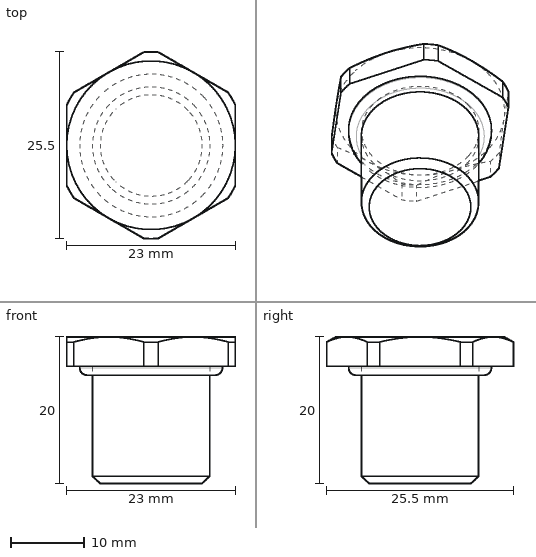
import cadquery as cq
import math

across_flats = 23.0
corner_diameter = 25.5
total_height = 20.0
head_height = 4.0
corner_bevel_drop = 0.7
shank_diameter = 16.01
tip_chamfer_width = 1.07
tip_chamfer_height = 1.0
ring_diameter = 19.5
ring_thickness = 1.22
ring_bottom_radius = 1.02

head_bottom = total_height - head_height
shank_radius = shank_diameter / 2
corner_radius = corner_diameter / 2
bevel_circle_radius = across_flats / 2
ring_radius = ring_diameter / 2
hexagon_diameter = across_flats / math.cos(math.pi / 6)
hexagon_turn = 30


def make_head():
    """Hexagon with corners on +Y and -Y, trimmed by a turned, bevelled blank."""
    hexagon = (
        cq.Workplane("XY")
        .workplane(offset=head_bottom)
        .polygon(6, hexagon_diameter)
        .extrude(head_height)
        .rotate((0, 0, 0), (0, 0, 1), hexagon_turn)
    )
    turned_blank = (
        cq.Workplane("XZ")
        .moveTo(0, head_bottom)
        .lineTo(corner_radius, head_bottom)
        .lineTo(corner_radius, total_height - corner_bevel_drop)
        .lineTo(bevel_circle_radius, total_height)
        .lineTo(0, total_height)
        .close()
        .revolve(360, (0, 0, 0), (0, 1, 0))
    )
    return hexagon.intersect(turned_blank)


def make_shank():
    """Round shank with a chamfered tip."""
    return (
        cq.Workplane("XZ")
        .lineTo(shank_radius - tip_chamfer_width, 0)
        .lineTo(shank_radius, tip_chamfer_height)
        .lineTo(shank_radius, head_bottom)
        .lineTo(0, head_bottom)
        .close()
        .revolve(360, (0, 0, 0), (0, 1, 0))
    )


def make_plug():
    """Head and shank as one solid."""
    return make_head().union(make_shank())


def make_sealing_ring():
    """Flat ring under the head, rounded on its lower outer edge."""
    return (
        cq.Workplane("XY")
        .workplane(offset=head_bottom - ring_thickness)
        .circle(ring_radius)
        .circle(shank_radius)
        .extrude(ring_thickness)
        .faces("<Z")
        .edges(cq.selectors.RadiusNthSelector(-1))
        .fillet(ring_bottom_radius)
    )


plug = make_plug()
sealing_ring = make_sealing_ring()

result = cq.Compound.makeCompound([plug.val(), sealing_ring.val()])